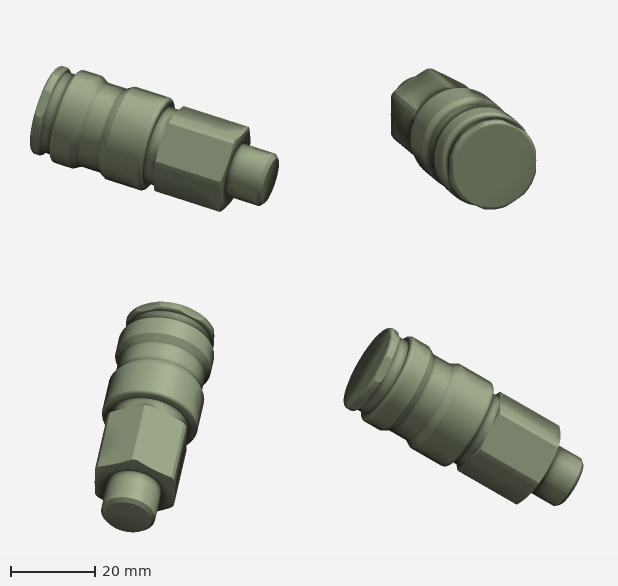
import cadquery as cq
import math

TOTAL_LENGTH = 57.5

COLLAR_LENGTH = 2.5
COLLAR_DIAMETER = 21.95
COLLAR_FLATS = 21.0
COLLAR_FILLET = 0.85

FRONT_NECK_DIAMETER = 20.0
REAR_NECK_DIAMETER = 19.0

SLEEVE_START = 5.25
SLEEVE_END = 28.7
SLEEVE_DIAMETER = 23.2
SLEEVE_BORE = REAR_NECK_DIAMETER
SLEEVE_FILLET = 0.9
GROOVE_DIAMETER = 21.0
GROOVE_START = 10.45
GROOVE_END = 19.25
GROOVE_SLOPE_LENGTH = 1.9

HEX_START = 31.35
HEX_END = 48.6
HEX_FLATS = 19.1
HEX_CORNER_DIAMETER = 21.4
HEX_END_DIAMETER = REAR_NECK_DIAMETER
HEX_CHAMFER_ANGLE = 15.0

THREAD_DIAMETER = 13.1
THREAD_CHAMFER = 0.85


def cylinder(start, end, diameter):
    """Cylinder along X between two stations."""
    return cq.Workplane("YZ").workplane(offset=start).circle(diameter / 2).extrude(end - start)


def revolve_profile(points):
    """Solid of revolution about X from a closed outline of (x, radius) points."""
    return cq.Workplane("XY").polyline(points).close().revolve(360, (0, 0, 0), (1, 0, 0))


def hexagon(start, end, across_flats):
    """Hexagonal prism along X with two flats facing +Y and -Y and corners on +Z and -Z."""
    across_corners = across_flats / math.cos(math.radians(30))
    prism = cq.Workplane("YZ").workplane(offset=start).polygon(6, across_corners).extrude(end - start)
    return prism.rotate((0, 0, 0), (1, 0, 0), 30)


def make_collar():
    """Disc with rounded rims, cut by six flats."""
    disc = cylinder(0, COLLAR_LENGTH, COLLAR_DIAMETER).edges().fillet(COLLAR_FILLET)
    return disc.intersect(hexagon(0, COLLAR_LENGTH, COLLAR_FLATS))


def make_wrench_hex():
    """Hexagon with turned corners and a shallow conical chamfer at each end."""
    corner_radius = HEX_CORNER_DIAMETER / 2
    end_radius = HEX_END_DIAMETER / 2
    chamfer_length = (corner_radius - end_radius) * math.tan(math.radians(HEX_CHAMFER_ANGLE))
    turned_blank = revolve_profile([
        (HEX_START, 0),
        (HEX_START, end_radius),
        (HEX_START + chamfer_length, corner_radius),
        (HEX_END - chamfer_length, corner_radius),
        (HEX_END, end_radius),
        (HEX_END, 0),
    ])
    return turned_blank.intersect(hexagon(HEX_START, HEX_END, HEX_FLATS))


def make_body():
    """Collar, necks, wrench hexagon and threaded end as one core."""
    front_neck = cylinder(COLLAR_LENGTH, SLEEVE_START, FRONT_NECK_DIAMETER)
    shaft = cylinder(SLEEVE_START, HEX_START, REAR_NECK_DIAMETER)
    thread = cylinder(HEX_END, TOTAL_LENGTH, THREAD_DIAMETER).faces(">X").chamfer(THREAD_CHAMFER)
    return make_collar().union(front_neck).union(shaft).union(make_wrench_hex()).union(thread)


def make_sleeve():
    """Ring around the shaft with rounded end rims and a sloped-wall grip groove."""
    ring = cylinder(SLEEVE_START, SLEEVE_END, SLEEVE_DIAMETER).edges().fillet(SLEEVE_FILLET)
    outer_radius = SLEEVE_DIAMETER / 2
    groove_radius = GROOVE_DIAMETER / 2
    waist = revolve_profile([
        (SLEEVE_START, 0),
        (SLEEVE_START, outer_radius),
        (GROOVE_START, outer_radius),
        (GROOVE_START + GROOVE_SLOPE_LENGTH, groove_radius),
        (GROOVE_END - GROOVE_SLOPE_LENGTH, groove_radius),
        (GROOVE_END, outer_radius),
        (SLEEVE_END, outer_radius),
        (SLEEVE_END, 0),
    ])
    return ring.intersect(waist).cut(cylinder(SLEEVE_START, SLEEVE_END, SLEEVE_BORE))


body = make_body()
sleeve = make_sleeve()

result = cq.Compound.makeCompound([body.val(), sleeve.val()])